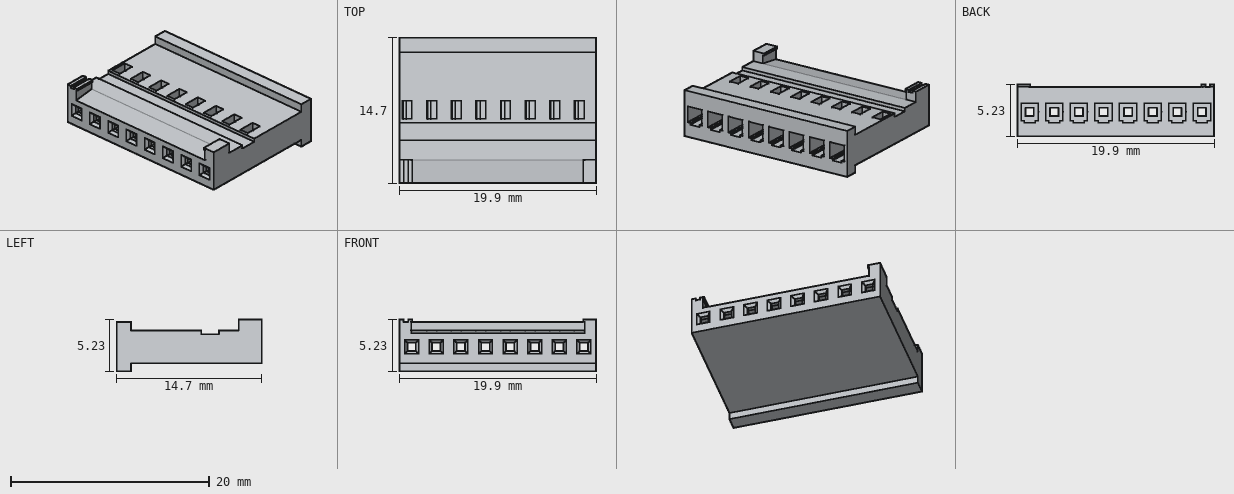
import cadquery as cq

WIDTH = 19.89
DEPTH = 14.68
HEIGHT = 5.23

FLANGE_DEPTH = 1.47
FLANGE_TOP = 5.0
BODY_BOTTOM = 0.80
BODY_TOP = 4.12
GROOVE_FRONT = 4.34
GROOVE_BACK = 6.11
GROOVE_FLOOR = 3.75
SHOULDER_DEPTH = 2.35
RAMP_FRONT_TOP = 3.82

SHOULDER_WIDTH = 1.18
LIP_WIDTH = 1.32
LIP_BOTTOM = 5.0
KEY_GROOVE_WIDTH = LIP_WIDTH / 3

CONTACT_COUNT = 8
CONTACT_PITCH = 2.486
CONTACT_Z = 2.46
FUNNEL_SIZE = 1.40
BORE_SIZE = 0.82
FUNNEL_DEPTH = (FUNNEL_SIZE - BORE_SIZE) / 2
BORE_LENGTH = 0.40
CAVITY_SIZE = 1.74
CAVITY_FRONT = FUNNEL_DEPTH + BORE_LENGTH
CHANNEL_WIDTH = 1.10
CHANNEL_DEPTH = 0.20

WINDOW_WIDTH = 1.00
WINDOW_RIGHT_OFFSET = 0.035
WINDOW_FRONT = 6.47
WINDOW_BACK = 8.31
WINDOW_FLOOR = CONTACT_Z


def block(x_range, y_range, z_range):
    """Axis-aligned box spanning the given (min, max) ranges."""
    size = [high - low for low, high in (x_range, y_range, z_range)]
    corner = (x_range[0], y_range[0], z_range[0])
    return cq.Workplane("XY").box(*size, centered=False).translate(corner)


def centred(middle, size):
    """(min, max) range of the given size around a middle value."""
    return (middle - size / 2, middle + size / 2)


def make_body():
    """Housing profile in the YZ plane, extruded over the full width."""
    flange_front = DEPTH - FLANGE_DEPTH
    outline = [
        (0, BODY_BOTTOM),
        (flange_front, BODY_BOTTOM),
        (flange_front, 0),
        (DEPTH, 0),
        (DEPTH, FLANGE_TOP),
        (flange_front, FLANGE_TOP),
        (flange_front, BODY_TOP),
        (GROOVE_BACK, BODY_TOP),
        (GROOVE_BACK, GROOVE_FLOOR),
        (GROOVE_FRONT, GROOVE_FLOOR),
        (GROOVE_FRONT, BODY_TOP),
        (SHOULDER_DEPTH, BODY_TOP),
        (0, RAMP_FRONT_TOP),
    ]
    return cq.Workplane("YZ").polyline(outline).close().extrude(WIDTH / 2, both=True)


def make_shoulder():
    """Left shoulder: a block with a lip overhanging inward along its top."""
    left = -WIDTH / 2
    shoulder_y = (0, SHOULDER_DEPTH)
    post = block((left, left + SHOULDER_WIDTH), shoulder_y, (BODY_BOTTOM, HEIGHT))
    lip = block((left, left + LIP_WIDTH), shoulder_y, (LIP_BOTTOM, HEIGHT))
    return post.union(lip)


def make_key_groove():
    """Groove along the top of the left shoulder, in the middle third of the lip."""
    groove_left = -WIDTH / 2 + KEY_GROOVE_WIDTH
    groove_x = (groove_left, groove_left + KEY_GROOVE_WIDTH)
    return block(groove_x, (0, SHOULDER_DEPTH), (LIP_BOTTOM, HEIGHT))


def make_contact_cut(x):
    """Everything removed at one contact: lead-in, bore, cavity, floor channel and latch window."""
    funnel = (
        cq.Workplane("XZ", origin=(x, 0, CONTACT_Z))
        .rect(FUNNEL_SIZE, FUNNEL_SIZE)
        .workplane(offset=-FUNNEL_DEPTH)
        .rect(BORE_SIZE, BORE_SIZE)
        .loft(ruled=True)
    )
    bore = block(
        centred(x, BORE_SIZE),
        (FUNNEL_DEPTH, CAVITY_FRONT),
        centred(CONTACT_Z, BORE_SIZE),
    )
    cavity_z = centred(CONTACT_Z, CAVITY_SIZE)
    cavity_y = (CAVITY_FRONT, DEPTH)
    cavity = block(centred(x, CAVITY_SIZE), cavity_y, cavity_z)
    channel_z = (cavity_z[0] - CHANNEL_DEPTH, CONTACT_Z)
    channel = block(centred(x, CHANNEL_WIDTH), cavity_y, channel_z)

    window_right = x + WINDOW_RIGHT_OFFSET
    window = block(
        (window_right - WINDOW_WIDTH, window_right),
        (WINDOW_FRONT, WINDOW_BACK),
        (WINDOW_FLOOR, BODY_TOP),
    )
    return funnel.union(bore).union(cavity).union(channel).union(window)


left_shoulder = make_shoulder()
housing = make_body().union(left_shoulder).union(left_shoulder.mirror("YZ"))
housing = housing.cut(make_key_groove())

first_contact_x = -CONTACT_PITCH * (CONTACT_COUNT - 1) / 2
for index in range(CONTACT_COUNT):
    housing = housing.cut(make_contact_cut(first_contact_x + index * CONTACT_PITCH))

result = housing